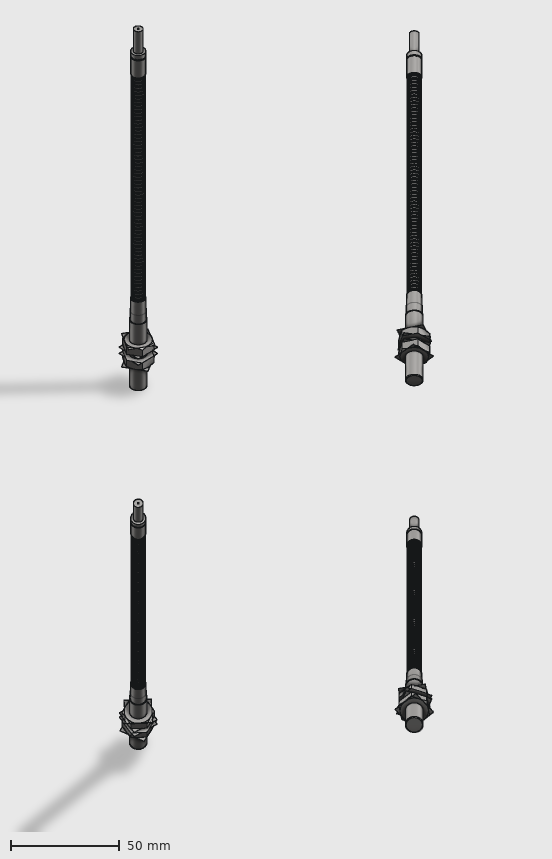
import cadquery as cq
import math

TOTAL_LENGTH = 206.4
THREAD_TOP = 38.5
TAPER_BOTTOM = 43.5
SLEEVE_TOP = 51.0
FERRULE_BOTTOM = 180.4
FERRULE_TOP = 190.5

THREAD_RADIUS = 4.1
SLEEVE_END_CHAMFER = 0.5
NECK_RADIUS = 3.7
SLEEVE_TOP_RADIUS = 3.5

HOSE_RADIUS = 3.3
HOSE_RINGS = 63
GROOVE_WIDTH = 0.8
GROOVE_DEPTH = 0.5

FERRULE_RADIUS = 3.5
FERRULE_CHAMFER = 0.2
COLLAR_GAP = 0.6
COLLAR_HEIGHT = 2.5
TIP_RADIUS = 2.3
TIP_BORE_RADIUS = 0.5

LOWER_NUT_BOTTOM = 14.2
UPPER_NUT_BOTTOM = 22.3
NUT_HEIGHT = 4.5
NUT_ACROSS_FLATS = 13.0
PLATE_SIDE = 12.5
PLATE_THICKNESS = 0.1
PLATE_TURN = 30.0
CHAMFER_ANGLE = 30.0


def cylinder(radius, bottom, top):
    return cq.Workplane("XY").workplane(offset=bottom).circle(radius).extrude(top - bottom)


def make_sleeve():
    """Cylinder for the nuts, with a chamfered lower end and a tapered neck."""
    end_radius = THREAD_RADIUS - SLEEVE_END_CHAMFER
    profile = [
        (0, 0),
        (end_radius, 0),
        (THREAD_RADIUS, SLEEVE_END_CHAMFER),
        (THREAD_RADIUS, THREAD_TOP),
        (NECK_RADIUS, THREAD_TOP),
        (NECK_RADIUS, TAPER_BOTTOM),
        (SLEEVE_TOP_RADIUS, SLEEVE_TOP),
        (0, SLEEVE_TOP),
    ]
    return cq.Workplane("XZ").polyline(profile).close().revolve(360, (0, 0), (0, 1))


def make_hose():
    """Cylinder with evenly spaced ring grooves, one in the middle of each corrugation."""
    pitch = (FERRULE_BOTTOM - SLEEVE_TOP) / HOSE_RINGS
    groove_radius = HOSE_RADIUS - GROOVE_DEPTH
    profile = cq.Workplane("XZ").moveTo(0, SLEEVE_TOP).lineTo(HOSE_RADIUS, SLEEVE_TOP)
    for ring in range(HOSE_RINGS):
        groove_bottom = SLEEVE_TOP + ring * pitch + (pitch - GROOVE_WIDTH) / 2
        groove_top = groove_bottom + GROOVE_WIDTH
        profile = profile.lineTo(HOSE_RADIUS, groove_bottom).lineTo(groove_radius, groove_bottom)
        profile = profile.lineTo(groove_radius, groove_top).lineTo(HOSE_RADIUS, groove_top)
    profile = profile.lineTo(HOSE_RADIUS, FERRULE_BOTTOM).lineTo(0, FERRULE_BOTTOM)
    return profile.close().revolve(360, (0, 0), (0, 1))


def make_ferrule():
    """Plain end fitting of the hose, chamfered where it meets the hose."""
    body = cylinder(FERRULE_RADIUS, FERRULE_BOTTOM, FERRULE_TOP)
    return body.faces("<Z").chamfer(FERRULE_CHAMFER)


def make_collar():
    """Ring around the tip, a small gap above the ferrule."""
    bottom = FERRULE_TOP + COLLAR_GAP
    top = bottom + COLLAR_HEIGHT
    return cylinder(FERRULE_RADIUS, bottom, top).cut(cylinder(TIP_RADIUS, bottom, top))


def make_tip():
    """Straight tube standing on the ferrule."""
    tube = cylinder(TIP_RADIUS, FERRULE_TOP, TOTAL_LENGTH)
    return tube.cut(cylinder(TIP_BORE_RADIUS, FERRULE_TOP, TOTAL_LENGTH))


def square_plate(bottom, turn):
    plate = cq.Workplane("XY").rect(PLATE_SIDE, PLATE_SIDE).extrude(PLATE_THICKNESS)
    return plate.rotate((0, 0, 0), (0, 0, 1), turn).translate((0, 0, bottom))


def make_nut():
    """Nut standing on Z = 0, its upper corners chamfered and its upper plate turned."""
    corner_radius = NUT_ACROSS_FLATS / math.sqrt(3)
    face_radius = PLATE_SIDE / 2
    chamfer_height = (corner_radius - face_radius) * math.tan(math.radians(CHAMFER_ANGLE))
    hexagon = cq.Workplane("XY").polygon(6, 2 * corner_radius).extrude(NUT_HEIGHT)
    hexagon = hexagon.rotate((0, 0, 0), (0, 0, 1), 90)
    envelope_profile = [
        (0, 0),
        (corner_radius, 0),
        (corner_radius, NUT_HEIGHT - chamfer_height),
        (face_radius, NUT_HEIGHT),
        (0, NUT_HEIGHT),
    ]
    envelope = cq.Workplane("XZ").polyline(envelope_profile).close().revolve(360, (0, 0), (0, 1))
    nut = hexagon.intersect(envelope)
    nut = nut.union(square_plate(0, 0))
    nut = nut.union(square_plate(NUT_HEIGHT - PLATE_THICKNESS, -PLATE_TURN))
    return nut.cut(cylinder(THREAD_RADIUS, 0, NUT_HEIGHT))


def make_nuts():
    """Two nuts with their unchamfered faces towards each other."""
    nuts = []
    for bottom, flipped in ((LOWER_NUT_BOTTOM, True), (UPPER_NUT_BOTTOM, False)):
        nut = make_nut()
        if flipped:
            nut = nut.rotate((0, 0, 0), (1, 0, 0), 180).translate((0, 0, NUT_HEIGHT))
        nuts.append(nut.translate((0, 0, bottom)).val())
    return nuts


sleeve = make_sleeve()
hose = make_hose()
ferrule = make_ferrule()
collar = make_collar()
tip = make_tip()
nuts = make_nuts()

result = cq.Compound.makeCompound(
    [sleeve.val(), hose.val(), ferrule.val(), collar.val(), tip.val(), *nuts]
)